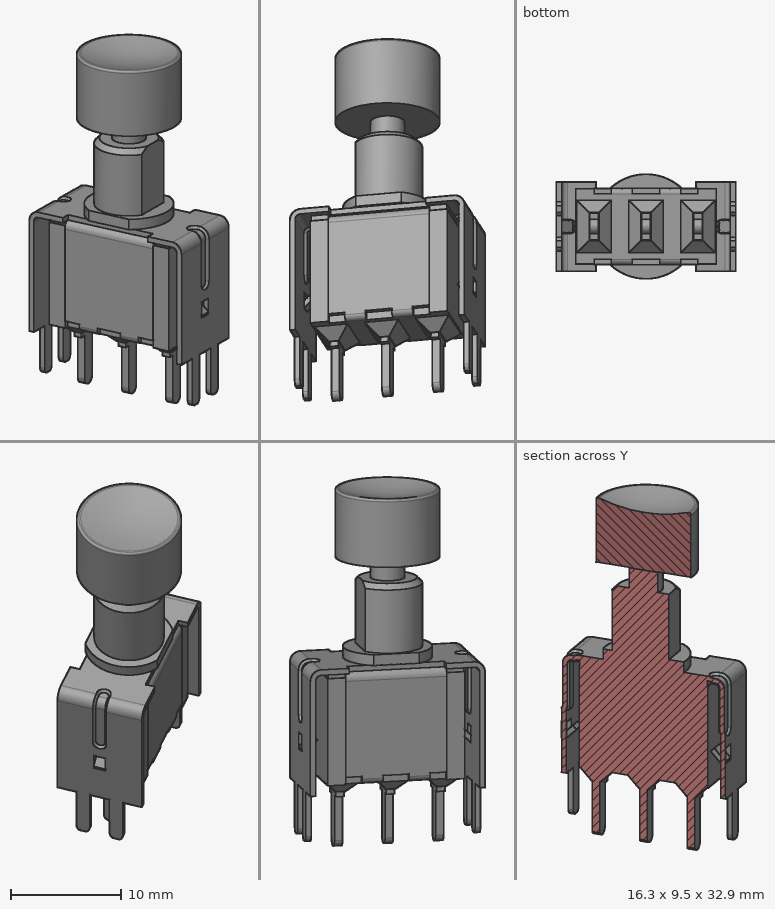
import cadquery as cq
import math


HOUSING_TOP = 10.43
HOUSING_LENGTH = 12.75
SHOULDER_HEIGHT = 9.93
NECK_STEP = 0.06
PLATE_LENGTH = 9.4
PLATE_FRONT = 3.46
PLATE_BOTTOM = 0.71
PLATE_THICKNESS = 0.5
PLATE_ROUND = 0.8
SIDE_SETBACK = 0.05
END_FRONT = PLATE_FRONT - SIDE_SETBACK
BASE_FRONT = PLATE_FRONT - PLATE_THICKNESS
TAB_LENGTH = 1.93
TAB_OFFSET = 2.19
TAB_BEND = PLATE_THICKNESS

PIN_PITCH = 4.7
PIN_X = (-PIN_PITCH, 0, PIN_PITCH)
PIN_THICKNESS = 0.76
PIN_WIDTH = 1.3
PIN_BOTTOM = -6.38
PIN_SHOULDER_WIDTH = 2.4
PIN_SHOULDER_BOTTOM = -1.57
SEAL_HEIGHT = 1.1
SEAL_MARGIN = 0.16

SHEET = 0.51
FRAME_LENGTH = 16.26
FRAME_WIDTH = 8.1
FRAME_TOP = HOUSING_TOP + SHEET
FRAME_SIDE = FRAME_LENGTH / 2
BEND_RADIUS = 1.0
BEND_X = FRAME_SIDE - BEND_RADIUS
BEND_Z = FRAME_TOP - BEND_RADIUS
APRON_BOTTOM = -0.77
WAIST_LENGTH = 9.04
WAIST_WIDTH = 6.32

LEG_WIDTH = 1.27
LEG_SPACING = 3.18
LEG_BOTTOM = -5.4
LEG_TIP_HEIGHT = 0.56

BEAD_WIDTH = 1.3
BEAD_DEPTH = 0.25
BEAD_WALL_ANGLE = 40
BEAD_END_X = 6.3
BEAD_END_Z = 5.22

BARB_WIDTH = 1.1
WINDOW_BOTTOM = 2.68
WINDOW_TOP = 4.2
BARB_ROOT_Z = 2.88
BARB_LENGTH = 1.6
BARB_ANGLE = 45

FLANGE_DIAMETER = 8.1
FLANGE_ACROSS_FLATS = 6.9
FLANGE_THICKNESS = 1.0
BUSHING_DIAMETER = 6.35
BUSHING_TOP = 18.3
BUSHING_CHAMFER = 0.5
KEY_FLAT_X = 2.54
STEM_DIAMETER = 3.1

CAP_DIAMETER = 9.5
OVERALL_HEIGHT = 32.94
CAP_TOP = PIN_BOTTOM + OVERALL_HEIGHT
CAP_HEIGHT = 6.3
CAP_BOTTOM = CAP_TOP - CAP_HEIGHT
CAP_EDGE_ROUND = 0.2
DISH_DIAMETER = 8.8
DISH_DEPTH = 0.7


def block(x_limits, y_limits, z_limits):
    """Rectangular block between pairs of limits."""
    low, high = zip(x_limits, y_limits, z_limits)
    size = [b - a for a, b in zip(low, high)]
    return cq.Workplane().box(*size, centered=False).translate(low)


def centred_block(length, width, bottom, top):
    """Rectangular block centred on the Z axis."""
    return block((-length / 2, length / 2), (-width / 2, width / 2), (bottom, top))


def cylinder(diameter, bottom, top):
    return cq.Workplane().workplane(offset=bottom).circle(diameter / 2).extrude(top - bottom)


def both_ends(feature):
    """The feature on the +X end together with its mirror image on the -X end."""
    return feature.union(feature.mirror("YZ"))


def round_tipped_blade(x_centre, y_centre, thickness, width, top, bottom, tip_height):
    """Flat blade whose lower end is an arc of half the width, cut off at the bottom."""
    arc_z = bottom + tip_height
    radius = width / 2
    x_limits = (x_centre - thickness / 2, x_centre + thickness / 2)
    y_limits = (y_centre - radius, y_centre + radius)
    tip = (
        cq.Workplane("YZ", origin=(x_limits[0], y_centre, arc_z))
        .circle(radius)
        .extrude(thickness)
        .intersect(block(x_limits, y_limits, (bottom, top)))
    )
    return block(x_limits, y_limits, (arc_z, top)).union(tip)



def make_housing():
    neck_length = HOUSING_LENGTH - 2 * NECK_STEP
    plate = centred_block(PLATE_LENGTH, 2 * PLATE_FRONT, PLATE_BOTTOM, HOUSING_TOP)
    plate = plate.edges("|X and >Z").fillet(PLATE_ROUND)
    base = centred_block(PLATE_LENGTH, 2 * BASE_FRONT, 0, PLATE_BOTTOM)
    for x in (-TAB_OFFSET, TAB_OFFSET):
        base = base.union(make_tabs(x))
    end_length = (HOUSING_LENGTH - PLATE_LENGTH) / 2
    neck_inset = END_FRONT - NECK_STEP
    end = block(
        (PLATE_LENGTH / 2, PLATE_LENGTH / 2 + end_length), (-END_FRONT, END_FRONT), (0, SHOULDER_HEIGHT)
    )
    neck = block(
        (PLATE_LENGTH / 2, neck_length / 2), (-neck_inset, neck_inset), (SHOULDER_HEIGHT, HOUSING_TOP)
    )
    return plate.union(base).union(both_ends(end.union(neck)))


def make_tabs(x_centre):
    """Tabs at the front and back that continue the plate downward and curl under it."""
    tabs = centred_block(TAB_LENGTH, 2 * PLATE_FRONT, 0, PLATE_BOTTOM)
    return tabs.edges("|X and <Z").fillet(TAB_BEND).translate((x_centre, 0, 0))


def make_terminal(x_centre):
    """Pin with a wide shoulder, leaving the housing through a tapered seal."""
    shoulder = centred_block(PIN_THICKNESS, PIN_SHOULDER_WIDTH, PIN_SHOULDER_BOTTOM, 0)
    foot_length = PIN_THICKNESS + SEAL_MARGIN
    foot_width = PIN_SHOULDER_WIDTH + SEAL_MARGIN
    seal = (
        cq.Workplane()
        .workplane(offset=-SEAL_HEIGHT)
        .rect(foot_length, foot_width)
        .workplane(offset=SEAL_HEIGHT)
        .rect(foot_length + 2 * SEAL_HEIGHT, foot_width + 2 * SEAL_HEIGHT)
        .loft()
    )
    pin = round_tipped_blade(0, 0, PIN_THICKNESS, PIN_WIDTH, 0, PIN_BOTTOM, PIN_WIDTH / 2)
    return seal.union(shoulder).union(pin).translate((x_centre, 0, 0))


def make_sheet():
    """Strip bent down at both ends, narrowed to a waist across the middle."""
    outside = centred_block(FRAME_LENGTH, FRAME_WIDTH, APRON_BOTTOM, FRAME_TOP)
    outside = outside.edges("|Y and >Z").fillet(BEND_RADIUS)
    inside = centred_block(FRAME_LENGTH - 2 * SHEET, FRAME_WIDTH, APRON_BOTTOM, HOUSING_TOP)
    inside = inside.edges("|Y and >Z").fillet(BEND_RADIUS - SHEET)
    waist_gap = centred_block(WAIST_LENGTH, FRAME_WIDTH, HOUSING_TOP, FRAME_TOP)
    waist_gap = waist_gap.cut(centred_block(WAIST_LENGTH, WAIST_WIDTH, HOUSING_TOP, FRAME_TOP))
    return outside.cut(inside).cut(waist_gap)


def tapered_slot(plane, far_end, near_end):
    """Pressed slot with sloping walls from far_end past near_end, along the plane's local x."""
    length = abs(far_end - near_end) + BEAD_WIDTH
    direction = math.copysign(1, near_end - far_end)
    return (
        cq.Workplane(plane)
        .center(far_end + direction * length / 2, 0)
        .slot2D(length, BEAD_WIDTH)
        .extrude(BEAD_DEPTH, taper=BEAD_WALL_ANGLE)
    )


def make_bead(offset):
    """Bead shape on the +X bend, starting at the given depth below the outer face."""
    side_x = FRAME_SIDE - offset
    top_z = FRAME_TOP - offset
    half = BEAD_WIDTH / 2
    floor_half = half - BEAD_DEPTH * math.tan(math.radians(BEAD_WALL_ANGLE))
    radius = BEND_RADIUS - offset

    side_plane = cq.Plane(origin=(side_x, 0, 0), xDir=(0, 0, 1), normal=(-1, 0, 0))
    side_limits = block((0, FRAME_SIDE), (-half, half), (0, BEND_Z))
    side = tapered_slot(side_plane, BEAD_END_Z, BEND_Z).intersect(side_limits)

    top_plane = cq.Plane(origin=(0, 0, top_z), xDir=(1, 0, 0), normal=(0, 0, -1))
    top_limits = block((0, BEND_X), (-half, half), (0, FRAME_TOP))
    top = tapered_slot(top_plane, BEAD_END_X, BEND_X).intersect(top_limits)

    bend = (
        cq.Workplane("YZ", origin=(BEND_X, 0, BEND_Z))
        .polyline([
            (-half, radius),
            (half, radius),
            (floor_half, radius - BEAD_DEPTH),
            (-floor_half, radius - BEAD_DEPTH),
        ])
        .close()
        .revolve(90, (0, 0), (1, 0))
    )
    return side.union(top).union(bend)


def make_barb():
    """Strip leaning inward from the outer face of the +X apron."""
    strip = block((-SHEET, 0), (-BARB_WIDTH / 2, BARB_WIDTH / 2), (0, BARB_LENGTH))
    strip = strip.rotate((0, 0, 0), (0, 1, 0), -BARB_ANGLE)
    return strip.translate((FRAME_SIDE, 0, BARB_ROOT_Z))


def make_frame():
    apron_x = (FRAME_SIDE - SHEET, FRAME_SIDE)
    window = block(apron_x, (-BARB_WIDTH / 2, BARB_WIDTH / 2), (WINDOW_BOTTOM, WINDOW_TOP))
    frame = make_sheet().cut(both_ends(window)).union(both_ends(make_barb()))
    frame = frame.cut(both_ends(make_bead(0))).union(both_ends(make_bead(SHEET)))
    for y in (-LEG_SPACING / 2, LEG_SPACING / 2):
        leg = round_tipped_blade(
            FRAME_SIDE - SHEET / 2, y, SHEET, LEG_WIDTH, APRON_BOTTOM, LEG_BOTTOM, LEG_TIP_HEIGHT
        )
        frame = frame.union(both_ends(leg))
    return frame


def make_bushing():
    """Flatted flange, keyed bushing and the plunger stem standing out of it."""
    flange_top = FRAME_TOP + FLANGE_THICKNESS
    flange = cylinder(FLANGE_DIAMETER, FRAME_TOP, flange_top)
    flange = flange.intersect(centred_block(FLANGE_DIAMETER, FLANGE_ACROSS_FLATS, FRAME_TOP, flange_top))
    barrel = cylinder(BUSHING_DIAMETER, flange_top, BUSHING_TOP).faces(">Z").chamfer(BUSHING_CHAMFER)
    radius = BUSHING_DIAMETER / 2
    barrel = barrel.cut(block((KEY_FLAT_X, radius), (-radius, radius), (flange_top, BUSHING_TOP)))
    stem = cylinder(STEM_DIAMETER, BUSHING_TOP, CAP_BOTTOM)
    return flange.union(barrel).union(stem)


def make_switch():
    switch = make_housing().union(make_frame()).union(make_bushing())
    for x in PIN_X:
        switch = switch.union(make_terminal(x))
    return switch



def make_cap():
    """Round button with a softened rim and a spherical finger dish; it rests on the stem."""
    cap = cylinder(CAP_DIAMETER, CAP_BOTTOM, CAP_TOP).faces(">Z").edges().fillet(CAP_EDGE_ROUND)
    dish_radius = ((DISH_DIAMETER / 2) ** 2 + DISH_DEPTH**2) / (2 * DISH_DEPTH)
    dish = cq.Workplane().sphere(dish_radius).translate((0, 0, CAP_TOP - DISH_DEPTH + dish_radius))
    return cap.cut(dish)


switch = make_switch()
cap = make_cap()

result = cq.Compound.makeCompound([*switch.solids().vals(), *cap.solids().vals()])